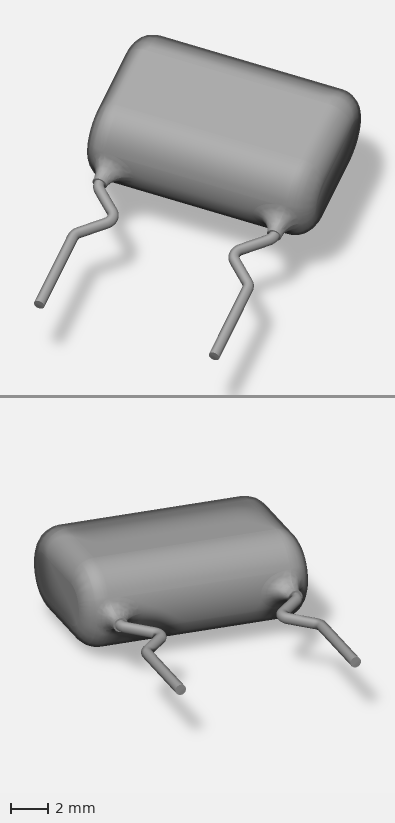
import cadquery as cq
import math

body_width = 13.0
body_depth = 9.1
body_thickness = 5.0
body_end_fillet = 1.3

neck_radius = 0.4
neck_length = 1.0
neck_fillet = 1.2
neck_trim_allowance = 0.5

lead_diameter = 0.6
lead_pitch = 10.0
lead_reach = 10.0
stem_length = 5.0
kink_offset = 1.5
kink_angle = math.radians(45)

lead_tip_y = -lead_reach
stem_top_y = lead_tip_y + stem_length
neck_end_y = -neck_length
kink_mid_y = (stem_top_y + neck_end_y) / 2
kink_half_length = neck_end_y - kink_mid_y
bend_tangent = (kink_half_length - kink_offset / math.tan(kink_angle)) / 2
bend_radius = bend_tangent / math.tan(kink_angle / 2)


def make_block():
    """Obround profile across Y and Z, run along X, with rounded end rims."""
    profile = cq.Workplane("YZ").center(body_depth / 2, 0).slot2D(body_depth, body_thickness)
    block = profile.extrude(body_width / 2, both=True)
    return block.faces("<X or >X").edges().fillet(body_end_fillet)


def add_neck(body, side):
    """Add a flared neck around one lead; the flare is cut off at the neck end."""
    stem_x = side * lead_pitch / 2
    rod_length = neck_length + neck_trim_allowance
    rod_end = cq.Workplane("XZ", origin=(stem_x, -rod_length, 0))
    rod = rod_end.circle(neck_radius).extrude(-(rod_length + body_thickness / 2))
    joined = body.union(rod)
    root_reach = 2 * neck_radius
    root = cq.selectors.BoxSelector(
        (stem_x - root_reach, -root_reach, -root_reach),
        (stem_x + root_reach, root_reach, root_reach),
    )
    return joined.edges(root).fillet(neck_fillet)


def make_body():
    body = make_block()
    for side in (-1, 1):
        body = add_neck(body, side)
    trim = cq.Workplane("XY").box(body_width, neck_length, body_thickness)
    return body.cut(trim.translate((0, neck_end_y - neck_length / 2, 0)))


def make_lead(side):
    """Round wire swept from its tip, through the three bends, to the neck end."""
    arc_sideways = bend_radius * (1 - math.cos(kink_angle))
    arc_along = bend_radius * math.sin(kink_angle)
    stem_x = side * lead_pitch / 2
    inward = -side
    kink_start_x = stem_x + inward * arc_sideways
    kink_peak_x = stem_x + inward * kink_offset
    kink_turn_x = kink_peak_x - inward * arc_sideways
    path = (
        cq.Workplane("XY")
        .moveTo(stem_x, lead_tip_y)
        .lineTo(stem_x, stem_top_y)
        .tangentArcPoint((kink_start_x, stem_top_y + arc_along), relative=False)
        .lineTo(kink_turn_x, kink_mid_y - arc_along)
        .tangentArcPoint((kink_turn_x, kink_mid_y + arc_along), relative=False)
        .lineTo(kink_start_x, neck_end_y - arc_along)
        .tangentArcPoint((stem_x, neck_end_y), relative=False)
    )
    tip = cq.Workplane("XZ", origin=(stem_x, lead_tip_y, 0))
    return tip.circle(lead_diameter / 2).sweep(path)


body = make_body().solids()
leads = [make_lead(side) for side in (-1, 1)]

result = cq.Compound.makeCompound([body.val(), *[lead.val() for lead in leads]])